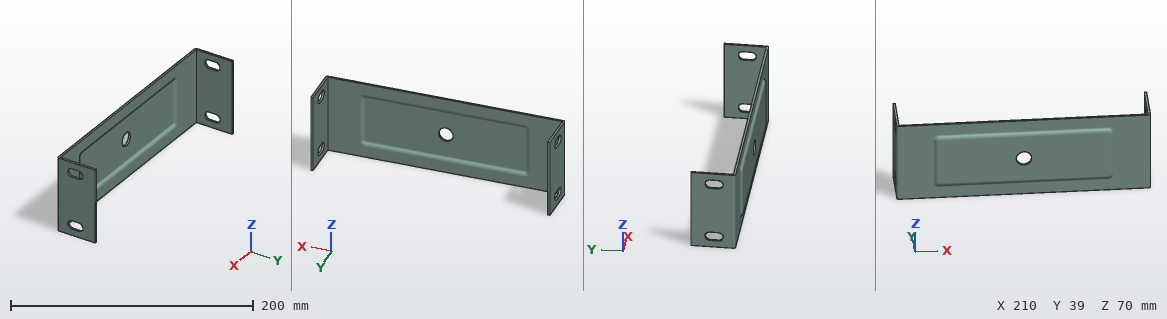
import cadquery as cq
import math

length = 210.0
depth = 39.0
height = 70.0
thickness = 2.0

emboss_length = 150.0
emboss_height = 50.0
emboss_corner_radius = 5.0
emboss_rise = thickness
tight_radius = 2.0
loose_radius = tight_radius + thickness

center_hole_diameter = 12.5

slot_length = 15.0
slot_width = 8.0
slot_spacing = 50.0
slot_from_back = 19.3

flange_back = depth - emboss_rise

radius_sum = tight_radius + loose_radius
wall_angle = math.acos(1 - emboss_rise / radius_sum)
wall_width = radius_sum * math.sin(wall_angle)
flat_length = emboss_length - 2 * wall_width
flat_height = emboss_height - 2 * wall_width
flat_corner_radius = emboss_corner_radius - wall_width
corner_x = emboss_length / 2 - emboss_corner_radius
corner_z = emboss_height / 2 - emboss_corner_radius


def make_channel():
    """U-shaped sheet with rounded outer bends."""
    outer = cq.Workplane("XY").box(length, flange_back, height).edges("|Z and <Y").fillet(thickness)
    cavity = cq.Workplane("XY").box(length - 2 * thickness, flange_back, height)
    channel = outer.cut(cavity.translate((0, thickness, 0)))
    return channel.translate((0, flange_back / 2, 0))


def wall_profile(plane, half_flat, crown_radius, root_radius):
    """Half section of a raised form: a flat top, then crown and root arcs down to Y = 0."""

    def crown_point(angle):
        drop = crown_radius * (1 - math.cos(angle))
        return (half_flat + crown_radius * math.sin(angle), drop - emboss_rise)

    def root_point(angle):
        edge = half_flat + wall_width
        return (edge - root_radius * math.sin(angle), -root_radius * (1 - math.cos(angle)))

    return (
        cq.Workplane(plane)
        .lineTo(0, -emboss_rise)
        .lineTo(half_flat, -emboss_rise)
        .threePointArc(crown_point(wall_angle / 2), crown_point(wall_angle))
        .threePointArc(root_point(wall_angle / 2), root_point(0))
        .close()
    )


def make_raised_form(crown_radius, root_radius):
    """Raised rectangle with curved walls and revolved corners, standing on Y = 0."""
    side_wall = wall_profile("XY", flat_length / 2, crown_radius, root_radius).extrude(corner_z)
    top_wall = wall_profile("ZY", flat_height / 2, crown_radius, root_radius).extrude(-corner_x)
    corner = (
        wall_profile("XY", flat_corner_radius, crown_radius, root_radius)
        .revolve(90, (0, 0, 0), (0, -1, 0))
        .translate((corner_x, 0, corner_z))
    )
    quarter = side_wall.union(top_wall).union(corner)
    half = quarter.union(quarter.mirror("YZ"))
    return half.union(half.mirror("XY"))


def make_flange_slots():
    """Pair of slots running through both flanges."""
    slot_y = flange_back - slot_from_back
    return (
        cq.Workplane("YZ")
        .pushPoints([(slot_y, -slot_spacing / 2), (slot_y, slot_spacing / 2)])
        .slot2D(slot_length, slot_width)
        .extrude(length, both=True)
    )


emboss_outside = make_raised_form(loose_radius, tight_radius)
emboss_hollow = make_raised_form(tight_radius, loose_radius).translate((0, thickness, 0))
center_hole = cq.Workplane("XZ").circle(center_hole_diameter / 2).extrude(depth, both=True)

result = (
    make_channel()
    .union(emboss_outside)
    .cut(emboss_hollow)
    .cut(center_hole)
    .cut(make_flange_slots())
)